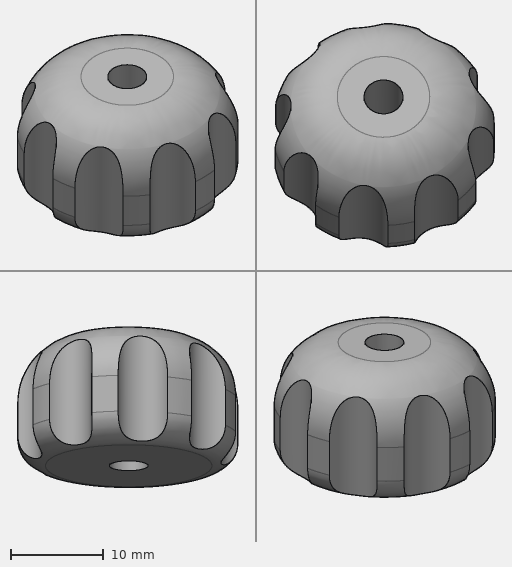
import cadquery as cq
import math

overall_width = 23.97
height = 14.0
top_round = 7.0
bottom_round = 3.0
bore_diameter = 4.2
groove_count = 9
groove_radius = 3.0
groove_center_radius = 13.0

groove_pitch = 360 / groove_count
widest_groove_angle = math.radians(2 * groove_pitch)
corner_y = overall_width / 2
groove_x = groove_center_radius * math.cos(widest_groove_angle)
groove_y = groove_center_radius * math.sin(widest_groove_angle)
corner_x = groove_x - math.sqrt(groove_radius**2 - (groove_y - corner_y) ** 2)
knob_radius = math.hypot(corner_x, corner_y)


def make_body():
    """Plain round knob with a large top round and a smaller bottom round."""
    body = cq.Workplane("XY").circle(knob_radius).extrude(height)
    body = body.faces(">Z").edges().fillet(top_round)
    return body.faces("<Z").edges().fillet(bottom_round)


def make_grooves():
    """Vertical cylinders that cut the finger grooves around the rim."""
    return (
        cq.Workplane("XY")
        .polarArray(groove_center_radius, 0, 360, groove_count)
        .circle(groove_radius)
        .extrude(height)
    )


def make_bore():
    """Through bore on the knob axis."""
    return cq.Workplane("XY").circle(bore_diameter / 2).extrude(height)


result = make_body().cut(make_grooves()).cut(make_bore())